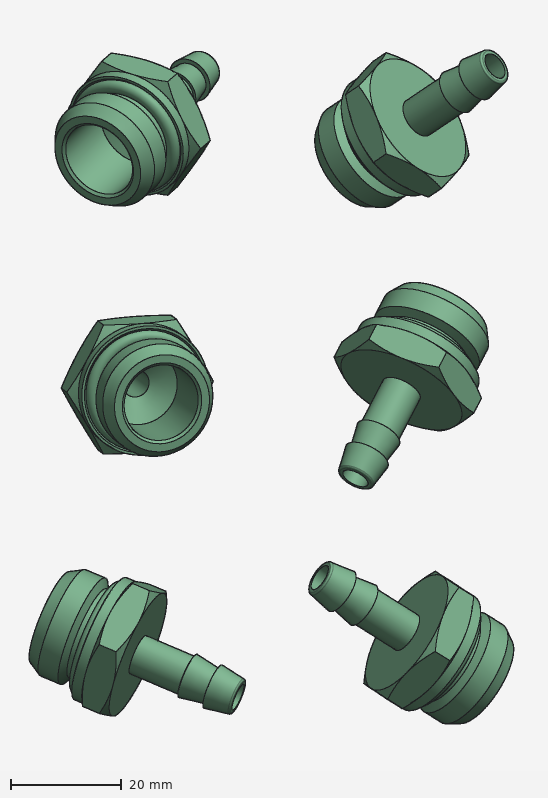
import cadquery as cq
import math


across_flats = 24.0
across_corners = across_flats / math.cos(math.radians(30))
bevel_slope = math.tan(math.radians(30))
corner_bevel = (across_corners - across_flats) / 2 * bevel_slope
flange_diameter = across_flats

thread_diameter = 20.87
neck_diameter = 17.5
lead_in_length = 2.5
lead_in_depth = lead_in_length * bevel_slope
runout_length = (thread_diameter - neck_diameter) / 2 * bevel_slope

stem_diameter = 7.5
barb_diameter = 8.5
barb_taper_angle = 9.5
barb_length = 5.0
barb_count = 2
tip_rounding = 0.4
barb_root_diameter = barb_diameter - 2 * barb_length * math.tan(math.radians(barb_taper_angle))

thread_end = 6.5
flange_front = 10.0
hex_front = 12.0
hex_back = 17.5
barbs_start = 27.5
tip = barbs_start + barb_count * barb_length

ring_section = 2.44
ring_front = 8.69
ring_center_radius = (neck_diameter + ring_section) / 2
ring_center_y = ring_front + ring_section / 2
recess_floor = ring_front + ring_section
recess_mouth_diameter = 23.0
recess_wall_angle = 30.0
recess_wall_inset = (recess_floor - flange_front) * math.tan(math.radians(recess_wall_angle))

bore_diameter = 14.0
mouth_diameter = 15.0
mouth_chamfer = (mouth_diameter - bore_diameter) / 2
hole_diameter = 5.0
bore_depth = 13.0
drill_point_angle = 120.0
bore_point_length = (bore_diameter - hole_diameter) / 2 / math.tan(math.radians(drill_point_angle / 2))


def revolve_about_axis(profile):
    """Revolve a closed (radius, Y) outline around the Y axis."""
    return profile.close().revolve(360, (0, 0, 0), (0, 1, 0))


def make_spigot_and_flange():
    """Threaded spigot, neck, and flange with the tapered ring recess, up to the hexagon."""
    thread_radius = thread_diameter / 2
    profile = (
        cq.Workplane("XY")
        .moveTo(0, 0)
        .lineTo(thread_radius - lead_in_depth, 0)
        .lineTo(thread_radius, lead_in_length)
        .lineTo(thread_radius, thread_end)
        .lineTo(neck_diameter / 2, thread_end + runout_length)
        .lineTo(neck_diameter / 2, recess_floor)
        .lineTo(recess_mouth_diameter / 2 - recess_wall_inset, recess_floor)
        .lineTo(recess_mouth_diameter / 2, flange_front)
        .lineTo(flange_diameter / 2, flange_front)
        .lineTo(flange_diameter / 2, hex_front)
        .lineTo(0, hex_front)
    )
    return revolve_about_axis(profile)


def make_hexagon():
    """Hexagon with corners on the X axis, its corners bevelled at both ends."""
    prism = (
        cq.Workplane("XZ", origin=(0, hex_front, 0))
        .polygon(6, across_corners)
        .extrude(hex_front - hex_back)
    )
    bevel_profile = (
        cq.Workplane("XY")
        .moveTo(0, hex_front)
        .lineTo(across_flats / 2, hex_front)
        .lineTo(across_corners / 2, hex_front + corner_bevel)
        .lineTo(across_corners / 2, hex_back - corner_bevel)
        .lineTo(across_flats / 2, hex_back)
        .lineTo(0, hex_back)
    )
    return prism.intersect(revolve_about_axis(bevel_profile))


def make_hose_tail():
    """Plain stem followed by tapered barbs, with the tip edge rounded."""
    profile = (
        cq.Workplane("XY")
        .moveTo(0, hex_back)
        .lineTo(stem_diameter / 2, hex_back)
        .lineTo(stem_diameter / 2, barbs_start)
    )
    for index in range(barb_count):
        barb_start = barbs_start + index * barb_length
        profile = profile.lineTo(barb_diameter / 2, barb_start)
        profile = profile.lineTo(barb_root_diameter / 2, barb_start + barb_length)
    tail = revolve_about_axis(profile.lineTo(0, tip))
    return tail.faces(">Y").edges().fillet(tip_rounding)


def make_bore():
    """Chamfered bore that narrows through a cone to the hole in the hose tail."""
    bore_radius = bore_diameter / 2
    profile = (
        cq.Workplane("XY")
        .moveTo(0, 0)
        .lineTo(mouth_diameter / 2, 0)
        .lineTo(bore_radius, mouth_chamfer)
        .lineTo(bore_radius, bore_depth)
        .lineTo(hole_diameter / 2, bore_depth + bore_point_length)
        .lineTo(hole_diameter / 2, tip)
        .lineTo(0, tip)
    )
    return revolve_about_axis(profile)


def make_seal_ring():
    """Round-section ring around the neck, against the floor of the flange recess."""
    section = cq.Workplane("XY").center(ring_center_radius, ring_center_y).circle(ring_section / 2)
    return section.revolve(360, (-ring_center_radius, 0, 0), (-ring_center_radius, 1, 0))


fitting = make_spigot_and_flange().union(make_hexagon()).union(make_hose_tail()).cut(make_bore())
seal_ring = make_seal_ring()

result = cq.Compound.makeCompound([fitting.val(), seal_ring.val()])